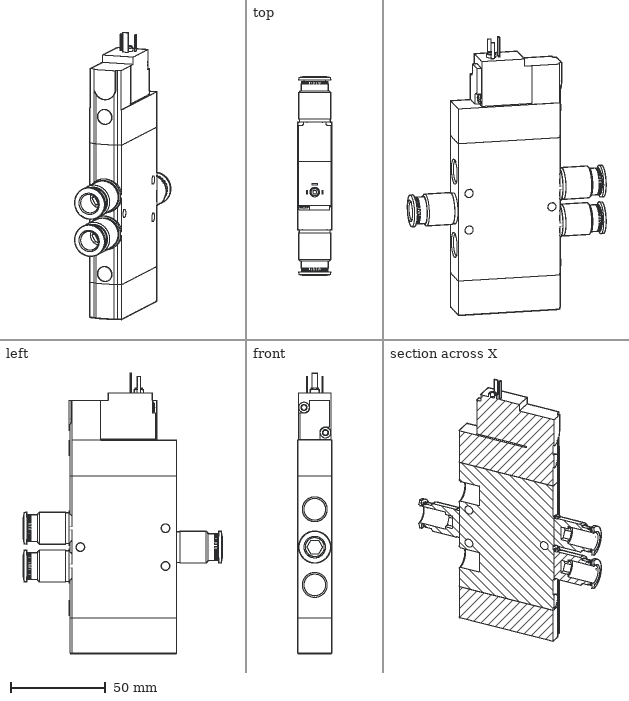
import cadquery as cq
import math


WIDTH = 18.0
HOUSING_HEIGHT = 113.0
CAP_HEIGHT = 19.0
HOUSING_DEPTH = 56.4
BACK_STEP_X = 2.3
BACK_BEVEL_X = 3.9
BACK_BEVEL_Y = 1.2
BOTTOM_CHAMFER = 0.4
MID_HEIGHT = HOUSING_HEIGHT / 2
PORT_PITCH = 20.0
PORT_DIAMETER = 11.45
PORT_MOUTH_DIAMETER = 13.16
PORT_CHAMFER_DEPTH = (PORT_MOUTH_DIAMETER - PORT_DIAMETER) / 2
PORT_DEPTH = 12.0
MOUNT_HOLE_DIAMETER = 4.4
FRONT_HOLE_Y = 5.9
BACK_HOLE_Y = 50.9
BACK_PAD_Y = 57.0
PORT_PAD_DIAMETER = 18.1
PAD_ROOT_Y = 53.0
DISC_DIAMETER = 8.0
BODY_DISC_Z = 24.4
CAP_DISC_Z = 108.9

PILOT_WIDTH = 17.4
ADAPTER_TOP = 134.1
ADAPTER_FRONT_Y = 40.2
OVERRIDE_PAD_DIAMETER = 12.0
OVERRIDE_PAD_CENTRE_Z = 124.2

COIL_GAP = 0.5
COIL_WIDTH = 17.3
COIL_BOTTOM = HOUSING_HEIGHT + COIL_GAP
COIL_TOP = 138.0
COIL_STEP_Y = 36.2
COIL_FRONT_Y = 12.9
PANEL_FRONT_Y = 10.5
PANEL_BEVEL_Y = 11.1
PANEL_HALF_WIDTH = 7.8
SCREW_X = 5.66
SCREW_HEIGHTS = {-1: 130.3, 1: 117.0}
SCREW_CENTRE_Z = sum(SCREW_HEIGHTS.values()) / 2
SCREW_RECESS_DIAMETER = 6.0
SCREW_HEAD_DIAMETER = 5.6
SCREW_CROWN_DIAMETER = 3.2
SCREW_RIM_LENGTH = 0.6
SCREW_HEAD_LENGTH = 1.3
SCREW_HEX = 2.5
SCREW_HEX_DEPTH = 1.0

SIDE_PIN_X = 4.0
SIDE_PIN_Y = 20.0
SIDE_PIN_SIZE = (0.5, 1.9)
SIDE_PIN_TOP = 146.7
EARTH_PIN_Y = 24.2
EARTH_PIN_SIZE = (3.0, 0.8)
EARTH_PIN_TOP = 148.5
BUSH_DIAMETER = 5.0
BUSH_HEIGHT = 1.7
BUSH_TIP_DIAMETER = 3.8
BUSH_TIP_HEIGHT = 2.5
BUSH_BORE_DIAMETER = 2.0

FITTING_LENGTH = 24.1
FITTING_DIAMETER = 17.0
FITTING_BASE_DIAMETER = 16.4
FITTING_BASE_LENGTH = 1.7
SHOULDER_END = 16.5
SHOULDER_CHAMFER = 0.9
NECK_DIAMETER = 14.3
TEETH_START = 20.1
NECK_END = 21.6
COLLET_STEM_DIAMETER = 11.45
FLANGE_START = 22.2
FLANGE_EDGE = 23.6
FLANGE_DIAMETER = 16.8
MOUTH_DIAMETER = 11.4
TUBE_DIAMETER = 10.0
TUBE_DEPTH = 16.0
HEX_ACROSS_FLATS = 7.2
HEX_DEPTH = 4.0
TOOTH_COUNT = 24
TOOTH_GAP_WIDTH = 0.9
TOOTH_GAP_DIAMETER = 13.16


def box(x_range, y_range, z_range):
    """Box between two limits along each axis."""
    lengths = [high - low for low, high in (x_range, y_range, z_range)]
    corner = (x_range[0], y_range[0], z_range[0])
    return cq.Workplane("XY").box(*lengths, centered=False).translate(corner)


def rod(diameter, x, z, y_start, y_end):
    """Cylinder along Y."""
    plane = cq.Workplane("XZ", origin=(x, y_start, z))
    return plane.circle(diameter / 2).extrude(y_start - y_end)


def bevelled_block(width, y_front, z_bottom, z_top):
    """Block up to the housing back, stepped in and bevelled along its two upright back edges."""
    half = width / 2
    step = WIDTH / 2 - BACK_STEP_X
    inner = WIDTH / 2 - BACK_BEVEL_X
    bevel_y = HOUSING_DEPTH - BACK_BEVEL_Y
    outline = [
        (-half, y_front),
        (half, y_front),
        (half, bevel_y),
        (step, bevel_y),
        (inner, HOUSING_DEPTH),
        (-inner, HOUSING_DEPTH),
        (-step, bevel_y),
        (-half, bevel_y),
    ]
    plane = cq.Workplane("XY", origin=(0, 0, z_bottom))
    return plane.polyline(outline).close().extrude(z_top - z_bottom)


BACK_PORT_HEIGHTS = [MID_HEIGHT + side * PORT_PITCH / 2 for side in (-1, 1)]
FRONT_PORT_HEIGHTS = [MID_HEIGHT + side * PORT_PITCH for side in (-1, 1)]


def make_port(z):
    """Blind round port in the front face, with a chamfered mouth."""
    profile = [
        (0, 0),
        (PORT_MOUTH_DIAMETER / 2, 0),
        (PORT_DIAMETER / 2, PORT_CHAMFER_DEPTH),
        (PORT_DIAMETER / 2, PORT_DEPTH),
        (0, PORT_DEPTH),
    ]
    turned = cq.Workplane("XY").polyline(profile).close().revolve(360, (0, 0), (0, 1))
    return turned.translate((0, 0, z))


def make_disc(z):
    """Low round disc on the back face."""
    return rod(DISC_DIAMETER, 0, z, PAD_ROOT_Y, BACK_PAD_Y)


def make_bottom_cap():
    cap = bevelled_block(WIDTH, 0, 0, CAP_HEIGHT)
    return cap.faces("<Z").edges().chamfer(BOTTOM_CHAMFER)


def make_valve_body():
    body = bevelled_block(WIDTH, 0, CAP_HEIGHT, HOUSING_HEIGHT - CAP_HEIGHT)

    side_limits = (-WIDTH / 2, WIDTH / 2)
    for z in BACK_PORT_HEIGHTS:
        pad = rod(PORT_PAD_DIAMETER, 0, z, PAD_ROOT_Y, BACK_PAD_Y)
        trim = box(side_limits, (0, BACK_PAD_Y), (0, HOUSING_HEIGHT))
        body = body.union(pad.intersect(trim))

    body = body.union(make_disc(BODY_DISC_Z))

    for z in FRONT_PORT_HEIGHTS:
        body = body.cut(make_port(z))

    hole_places = [(FRONT_HOLE_Y, z) for z in BACK_PORT_HEIGHTS]
    hole_places.append((BACK_HOLE_Y, MID_HEIGHT))
    side_plane = cq.Workplane("YZ").pushPoints(hole_places)
    return body.cut(side_plane.circle(MOUNT_HOLE_DIAMETER / 2).extrude(WIDTH, both=True))


def make_upper_cap():
    cap = bevelled_block(WIDTH, 0, HOUSING_HEIGHT - CAP_HEIGHT, HOUSING_HEIGHT)
    return cap.union(make_disc(CAP_DISC_Z))


def make_adapter():
    block = bevelled_block(PILOT_WIDTH, ADAPTER_FRONT_Y, HOUSING_HEIGHT, ADAPTER_TOP)

    radius = OVERRIDE_PAD_DIAMETER / 2
    pad_y = (PAD_ROOT_Y, BACK_PAD_Y)
    pad = rod(OVERRIDE_PAD_DIAMETER, 0, OVERRIDE_PAD_CENTRE_Z, *pad_y)
    pad = pad.union(box((-radius, radius), pad_y, (OVERRIDE_PAD_CENTRE_Z, ADAPTER_TOP)))
    return block.union(pad)


def make_front_panel():
    """Raised front panel with a bevelled left edge and two opposite corners cut back for screws."""
    outline = [
        (-COIL_WIDTH / 2, COIL_FRONT_Y),
        (-COIL_WIDTH / 2, PANEL_BEVEL_Y),
        (-PANEL_HALF_WIDTH, PANEL_FRONT_Y),
        (PANEL_HALF_WIDTH, PANEL_FRONT_Y),
        (PANEL_HALF_WIDTH, COIL_FRONT_Y),
    ]
    plane = cq.Workplane("XY", origin=(0, 0, COIL_BOTTOM))
    panel = plane.polyline(outline).close().extrude(ADAPTER_TOP - COIL_BOTTOM)

    radius = SCREW_RECESS_DIAMETER / 2
    panel_y = (PANEL_FRONT_Y, COIL_FRONT_Y)
    for side, z in SCREW_HEIGHTS.items():
        outward = 1 if z > SCREW_CENTRE_Z else -1
        x = side * SCREW_X
        outer_x = side * WIDTH / 2
        inner_x = x - side * radius
        outer_z = ADAPTER_TOP if outward > 0 else COIL_BOTTOM
        inner_z = z - outward * radius
        panel = panel.cut(rod(SCREW_RECESS_DIAMETER, x, z, *panel_y))
        beyond = box(sorted((inner_x, outer_x)), panel_y, sorted((z, outer_z)))
        beside = box(sorted((x, outer_x)), panel_y, sorted((inner_z, outer_z)))
        panel = panel.cut(beyond).cut(beside)
    return panel


def make_screw_head(x, z):
    """Conical screw head with a hexagon socket, standing on the coil front."""
    tip_y = COIL_FRONT_Y - SCREW_HEAD_LENGTH
    profile = [
        (0, COIL_FRONT_Y),
        (SCREW_HEAD_DIAMETER / 2, COIL_FRONT_Y),
        (SCREW_HEAD_DIAMETER / 2, COIL_FRONT_Y - SCREW_RIM_LENGTH),
        (SCREW_CROWN_DIAMETER / 2, tip_y),
        (0, tip_y),
    ]
    head = cq.Workplane("XY").polyline(profile).close().revolve(360, (0, 0), (0, 1))
    head = head.translate((x, 0, z))
    socket = cq.Workplane("XZ", origin=(x, tip_y, z))
    corner_diameter = SCREW_HEX / math.cos(math.pi / 6)
    return head.cut(socket.polygon(6, corner_diameter).extrude(-SCREW_HEX_DEPTH))


def make_contacts():
    """Bored bush and three flat contact blades on top of the coil."""
    bush_plane = cq.Workplane("XY", origin=(0, SIDE_PIN_Y, COIL_TOP))
    bush = bush_plane.circle(BUSH_DIAMETER / 2).extrude(BUSH_HEIGHT)
    bush = bush.union(bush_plane.circle(BUSH_TIP_DIAMETER / 2).extrude(BUSH_TIP_HEIGHT))
    contacts = bush.cut(bush_plane.circle(BUSH_BORE_DIAMETER / 2).extrude(BUSH_TIP_HEIGHT))

    blades = [
        (-SIDE_PIN_X, SIDE_PIN_Y, SIDE_PIN_SIZE, SIDE_PIN_TOP),
        (SIDE_PIN_X, SIDE_PIN_Y, SIDE_PIN_SIZE, SIDE_PIN_TOP),
        (0, EARTH_PIN_Y, EARTH_PIN_SIZE, EARTH_PIN_TOP),
    ]
    for x, y, size, top in blades:
        blade = cq.Workplane("XY", origin=(x, y, COIL_TOP)).rect(*size).extrude(top - COIL_TOP)
        contacts = contacts.add(blade)
    return contacts


def make_coil():
    sides = (-COIL_WIDTH / 2, COIL_WIDTH / 2)
    coil = box(sides, (COIL_FRONT_Y, ADAPTER_FRONT_Y), (COIL_BOTTOM, ADAPTER_TOP))
    coil = coil.union(box(sides, (COIL_FRONT_Y, COIL_STEP_Y), (ADAPTER_TOP, COIL_TOP)))
    coil = coil.union(make_front_panel())
    for side, z in SCREW_HEIGHTS.items():
        coil = coil.union(make_screw_head(side * SCREW_X, z))
    for contact in make_contacts().vals():
        coil = coil.union(cq.Workplane(contact))
    return coil


def make_pilot_head():
    """Upper cap with the adapter and the slightly narrower coil, in one piece."""
    return make_upper_cap().union(make_adapter()).union(make_coil())


def make_fitting():
    """Push-in fitting pointing along +Y with its seat at Y = 0."""
    profile = [
        (0, 0),
        (FITTING_BASE_DIAMETER / 2, 0),
        (FITTING_BASE_DIAMETER / 2, FITTING_BASE_LENGTH),
        (FITTING_DIAMETER / 2, FITTING_BASE_LENGTH),
        (FITTING_DIAMETER / 2, SHOULDER_END - SHOULDER_CHAMFER),
        (FITTING_DIAMETER / 2 - SHOULDER_CHAMFER, SHOULDER_END),
        (NECK_DIAMETER / 2, SHOULDER_END),
        (NECK_DIAMETER / 2, NECK_END),
        (COLLET_STEM_DIAMETER / 2, NECK_END),
        (COLLET_STEM_DIAMETER / 2, FLANGE_START),
        (FITTING_DIAMETER / 2, FLANGE_START),
        (FLANGE_DIAMETER / 2, FLANGE_EDGE),
        (MOUTH_DIAMETER / 2, FITTING_LENGTH),
        (TUBE_DIAMETER / 2, FITTING_LENGTH - (MOUTH_DIAMETER - TUBE_DIAMETER) / 2),
        (TUBE_DIAMETER / 2, FITTING_LENGTH - TUBE_DEPTH),
        (0, FITTING_LENGTH - TUBE_DEPTH),
    ]
    body = cq.Workplane("XY").polyline(profile).close().revolve(360, (0, 0), (0, 1))

    socket_plane = cq.Workplane("XZ", origin=(0, FITTING_LENGTH - TUBE_DEPTH, 0))
    corner_diameter = HEX_ACROSS_FLATS / math.cos(math.pi / 6)
    body = body.cut(socket_plane.polygon(6, corner_diameter).extrude(HEX_DEPTH))

    gap_depth = (NECK_DIAMETER - TOOTH_GAP_DIAMETER) / 2
    gap_plane = cq.Workplane("XZ", origin=(0, TEETH_START, 0))
    gaps = (
        gap_plane.polarArray(NECK_DIAMETER / 2, 0, 360, TOOTH_COUNT)
        .rect(2 * gap_depth, TOOTH_GAP_WIDTH)
        .extrude(TEETH_START - NECK_END)
    )
    return body.cut(gaps)


def make_fittings():
    """One fitting on the front face and two on the back pads."""
    fitting = make_fitting()
    placed = [fitting.rotate((0, 0, 0), (0, 0, 1), 180).translate((0, 0, MID_HEIGHT))]
    for z in BACK_PORT_HEIGHTS:
        placed.append(fitting.translate((0, BACK_PAD_Y, z)))
    return placed


bottom_cap = make_bottom_cap()
valve_body = make_valve_body()
pilot_head = make_pilot_head()
fittings = make_fittings()

result = cq.Compound.makeCompound(
    [bottom_cap.val(), valve_body.val(), pilot_head.val(), *[fitting.val() for fitting in fittings]]
)